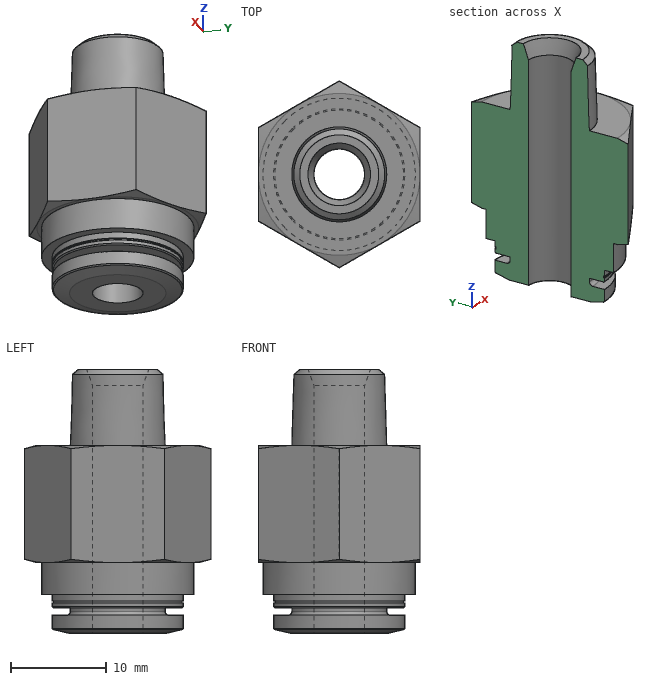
import cadquery as cq
import math

HEIGHT = 27.75
FLANGE_TOP = 1.91
NECK_FILLET = 0.42
COLLAR_BOTTOM = 2.7
GROOVE_BOTTOM = 3.22
GROOVE_TOP = 3.4
COLLAR_TOP = 4.08
HEX_BOTTOM = 7.43
HEX_TOP = 19.75

BORE_DIA = 5.3
MOUTH_DIA = 6.57
STEM_BASE_DIA = 10.0
STEM_TOP_DIA = 9.55
STEM_FACE_DIA = 8.3
SLEEVE_DIA = 16.0
COLLAR_DIA = 13.8
NECK_DIA = 10.0
FACE_DIA = 10.13

HEX_FLATS = 17.0
HEX_CHAMFER_ANGLE = 15.0
STEM_CHAMFER_HEIGHT = 0.55
MOUTH_DEPTH = 1.72
EDGE_BREAK = 0.15
GROOVE_DEPTH = 0.15
FACE_RISE = 0.4


def hexagon_body():
    """Hexagon with corners on Y, both ends turned down to a shallow cone."""
    corner_dia = HEX_FLATS / math.cos(math.radians(30))
    flat_radius = HEX_FLATS / 2
    corner_radius = corner_dia / 2
    drop = (corner_radius - flat_radius) * math.tan(math.radians(HEX_CHAMFER_ANGLE))
    prism = (
        cq.Workplane("XY")
        .workplane(offset=HEX_BOTTOM)
        .polygon(6, corner_dia)
        .extrude(HEX_TOP - HEX_BOTTOM)
        .rotate((0, 0, 0), (0, 0, 1), 30)
    )
    envelope = (
        cq.Workplane("XZ")
        .moveTo(0, HEX_BOTTOM)
        .lineTo(flat_radius, HEX_BOTTOM)
        .lineTo(corner_radius, HEX_BOTTOM + drop)
        .lineTo(corner_radius, HEX_TOP - drop)
        .lineTo(flat_radius, HEX_TOP)
        .lineTo(0, HEX_TOP)
        .close()
        .revolve()
    )
    return prism.intersect(envelope)


def stem():
    """Slightly tapered stem with a chamfered end."""
    return (
        cq.Workplane("XZ")
        .moveTo(0, HEX_BOTTOM)
        .lineTo(STEM_BASE_DIA / 2, HEX_BOTTOM)
        .lineTo(STEM_BASE_DIA / 2, HEX_TOP)
        .lineTo(STEM_TOP_DIA / 2, HEIGHT - STEM_CHAMFER_HEIGHT)
        .lineTo(STEM_FACE_DIA / 2, HEIGHT)
        .lineTo(0, HEIGHT)
        .close()
        .revolve()
    )


def tube_end():
    """Release ring, neck, grooved collar and sleeve below the hexagon."""
    rim = COLLAR_DIA / 2
    neck = NECK_DIA / 2
    arc_offset = NECK_FILLET * (1 - math.sqrt(0.5))
    return (
        cq.Workplane("XZ")
        .lineTo(FACE_DIA / 2, 0)
        .lineTo(rim - EDGE_BREAK, FACE_RISE)
        .lineTo(rim, FACE_RISE + EDGE_BREAK)
        .lineTo(rim, FLANGE_TOP)
        .lineTo(neck + NECK_FILLET, FLANGE_TOP)
        .threePointArc(
            (neck + arc_offset, FLANGE_TOP + arc_offset),
            (neck, FLANGE_TOP + NECK_FILLET),
        )
        .lineTo(neck, COLLAR_BOTTOM)
        .lineTo(rim - EDGE_BREAK, COLLAR_BOTTOM)
        .lineTo(rim, COLLAR_BOTTOM + EDGE_BREAK)
        .lineTo(rim, GROOVE_BOTTOM)
        .lineTo(rim - GROOVE_DEPTH, GROOVE_BOTTOM)
        .lineTo(rim - GROOVE_DEPTH, GROOVE_TOP)
        .lineTo(rim, GROOVE_TOP)
        .lineTo(rim, COLLAR_TOP)
        .lineTo(SLEEVE_DIA / 2, COLLAR_TOP)
        .lineTo(SLEEVE_DIA / 2, HEX_BOTTOM)
        .lineTo(0, HEX_BOTTOM)
        .close()
        .revolve()
    )


def bore():
    """Through bore that opens into a conical mouth at the stem end."""
    return (
        cq.Workplane("XZ")
        .lineTo(BORE_DIA / 2, 0)
        .lineTo(BORE_DIA / 2, HEIGHT - MOUTH_DEPTH)
        .lineTo(MOUTH_DIA / 2, HEIGHT)
        .lineTo(0, HEIGHT)
        .close()
        .revolve()
    )


result = hexagon_body().union(stem()).union(tube_end()).cut(bore())